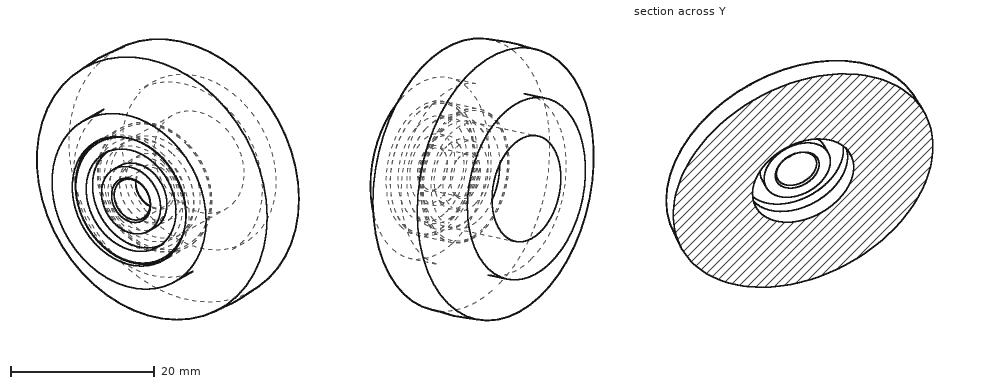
import cadquery as cq


crest_radius = 19.5
rim_edge_radius = 19.3
rim_half_width = 4.0
hub_radius = 12.9
hub_front_y = -9.8
hub_back_y = 7.8
hub_fillet = 0.45

bearing_radius = 9.5
bearing_width = 6.0
bearing_inset = 0.5
outer_ring_inner_radius = 7.53
inner_ring_outer_radius = 4.95
shaft_radius = 3.0
ring_chamfer = 0.27
ball_track_radius = (outer_ring_inner_radius + inner_ring_outer_radius) / 2
ball_radius = 1.9

shaft_clearance_radius = outer_ring_inner_radius

bearing_front_y = hub_front_y + bearing_inset
bearing_back_y = bearing_front_y + bearing_width
bearing_middle_y = (bearing_front_y + bearing_back_y) / 2


def turn(profile):
    """Revolve a closed (radius, Y) profile about the Y axis."""
    return profile.close().revolve(360, (0, 0, 0), (0, 1, 0))


def tube(inner_radius, outer_radius, front_y, back_y):
    """Plain ring along the Y axis."""
    profile = cq.Workplane("XY").polyline([
        (inner_radius, front_y),
        (outer_radius, front_y),
        (outer_radius, back_y),
        (inner_radius, back_y),
    ])
    return turn(profile)


def make_ball_ring():
    """Solid torus that stands in for the row of balls."""
    section = cq.Workplane("XY").center(ball_track_radius, bearing_middle_y).circle(ball_radius)
    return section.revolve(360, (-ball_track_radius, 0, 0), (-ball_track_radius, 1, 0))


def make_wheel():
    """Crowned rim on a filleted hub, with a seat for the bearing and a shaft hole."""
    profile = (
        cq.Workplane("XY")
        .moveTo(shaft_clearance_radius, hub_front_y)
        .lineTo(hub_radius, hub_front_y)
        .lineTo(hub_radius, -rim_half_width - hub_fillet)
        .radiusArc((hub_radius + hub_fillet, -rim_half_width), hub_fillet)
        .lineTo(rim_edge_radius, -rim_half_width)
        .lineTo(crest_radius, 0)
        .lineTo(rim_edge_radius, rim_half_width)
        .lineTo(hub_radius + hub_fillet, rim_half_width)
        .radiusArc((hub_radius, rim_half_width + hub_fillet), hub_fillet)
        .lineTo(hub_radius, hub_back_y)
        .lineTo(shaft_clearance_radius, hub_back_y)
    )
    seat = tube(0, bearing_radius, hub_front_y, bearing_back_y)
    return turn(profile).cut(seat)


def make_outer_ring(balls):
    """Outer race, chamfered on its outside edges and grooved for the balls."""
    ring = tube(outer_ring_inner_radius, bearing_radius, bearing_front_y, bearing_back_y)
    outside_edges = cq.selectors.RadiusNthSelector(-1)
    return ring.edges("%CIRCLE").edges(outside_edges).chamfer(ring_chamfer).cut(balls)


def make_inner_ring(balls):
    """Inner race, chamfered at its bore and grooved for the balls."""
    ring = tube(shaft_radius, inner_ring_outer_radius, bearing_front_y, bearing_back_y)
    bore_edges = cq.selectors.RadiusNthSelector(0)
    return ring.edges("%CIRCLE").edges(bore_edges).chamfer(ring_chamfer).cut(balls)


ball_ring = make_ball_ring()
wheel = make_wheel()
outer_ring = make_outer_ring(ball_ring)
inner_ring = make_inner_ring(ball_ring)

result = cq.Compound.makeCompound([
    wheel.val(),
    outer_ring.val(),
    inner_ring.val(),
    ball_ring.val(),
])